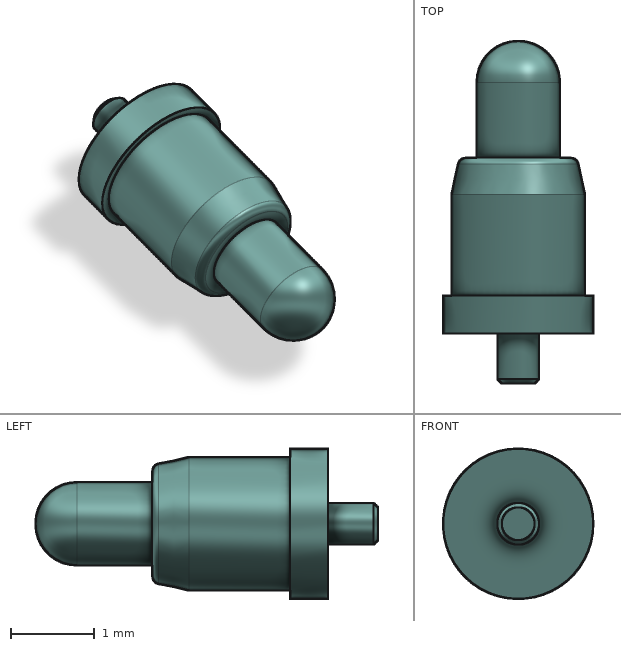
import cadquery as cq
import math

total_length = 4.1

tail_radius = 0.25
tail_length = 0.6
tail_chamfer = 0.055

flange_radius = 0.9
flange_length = 0.455

barrel_radius = 0.8
barrel_straight_length = 1.21
barrel_length = 1.65
mouth_radius = 0.705
mouth_fillet = 0.1

plunger_radius = 0.5

flange_start = tail_length
barrel_start = flange_start + flange_length
taper_start = barrel_start + barrel_straight_length
barrel_end = barrel_start + barrel_length
dome_start = total_length - plunger_radius


def cylinder(radius, start, end):
    """Solid cylinder on the Y axis between two stations."""
    return cq.Workplane("XZ", origin=(0, start, 0)).circle(radius).extrude(start - end)


def make_tail():
    return cylinder(tail_radius, 0, barrel_start).faces("<Y").chamfer(tail_chamfer)


def make_barrel():
    """Straight barrel narrowing to a rounded mouth."""
    profile = (
        cq.Workplane("XY")
        .moveTo(0, barrel_start)
        .lineTo(barrel_radius, barrel_start)
        .lineTo(barrel_radius, taper_start)
        .lineTo(mouth_radius, barrel_end)
        .lineTo(0, barrel_end)
        .close()
    )
    barrel = profile.revolve(360, (0, 0, 0), (0, 1, 0))
    return barrel.faces(">Y").edges().fillet(mouth_fillet)


def make_plunger():
    """Round pin with a hemispherical tip."""
    diagonal = plunger_radius * math.sqrt(0.5)
    profile = (
        cq.Workplane("XY")
        .moveTo(0, barrel_start)
        .lineTo(plunger_radius, barrel_start)
        .lineTo(plunger_radius, dome_start)
        .threePointArc((diagonal, dome_start + diagonal), (0, total_length))
        .close()
    )
    return profile.revolve(360, (0, 0, 0), (0, 1, 0))


flange = cylinder(flange_radius, flange_start, barrel_start)
result = flange.union(make_tail()).union(make_barrel()).union(make_plunger())